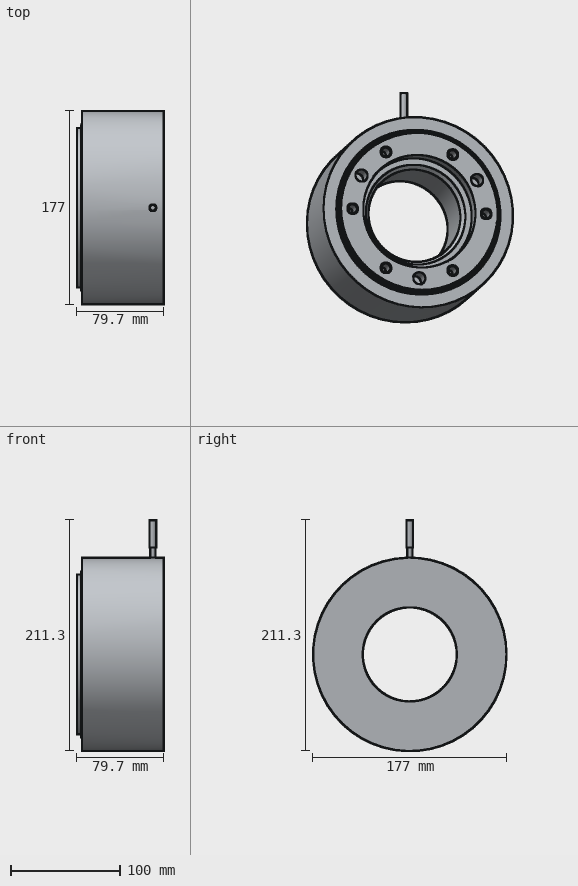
import cadquery as cq

total_length = 79.7
total_height = 211.3
body_radius = 88.5
pilot_radius = 73.1
pilot_length = 3.8
shoulder_radius = 75.0
shoulder_base_radius = 76.7
body_front = 4.6

counterbore_radius = 52.5
counterbore_depth = 17.0
bore_radius = 43.0
lead_in_radius = 46.5
lead_in_length = 5.0

pitch_radius = 62.3
screw_hole_count = 6
screw_start_angle = 0
screw_hole_diameter = 8.5
screw_hole_depth = 20.0
screw_countersink_diameter = 10.0
screw_countersink_depth = (screw_countersink_diameter - screw_hole_diameter) / 2
dowel_hole_count = 3
dowel_hole_diameter = 11.2
dowel_hole_depth = 20.0
dowel_start_angle = 30

cable_x = 69.5
cable_top = total_height - body_radius
sleeve_diameter = 6.3
sleeve_length = 25.1
cable_diameter = 5.0
cable_embed = 4.2
cable_root = body_radius - cable_embed


def make_ring():
    """Revolve the half section (X along the axis, Y as radius) about X."""
    lead_in_end = counterbore_depth + lead_in_length
    section = [
        (0, counterbore_radius),
        (0, pilot_radius),
        (pilot_length, pilot_radius),
        (pilot_length, shoulder_radius),
        (body_front, shoulder_base_radius),
        (body_front, body_radius),
        (total_length, body_radius),
        (total_length, bore_radius),
        (lead_in_end, bore_radius),
        (counterbore_depth, lead_in_radius),
        (counterbore_depth, counterbore_radius),
    ]
    return cq.Workplane("XY").polyline(section).close().revolve(360, (0, 0, 0), (1, 0, 0))


def front_pitch_circle(count, start_angle):
    """Hole centres on the front face, with the drilling direction along +X."""
    return cq.Workplane("YZ").polarArray(pitch_radius, start_angle, 360, count)


def make_screw_holes():
    holes = (
        front_pitch_circle(screw_hole_count, screw_start_angle)
        .circle(screw_hole_diameter / 2)
        .extrude(screw_hole_depth)
    )
    countersinks = (
        front_pitch_circle(screw_hole_count, screw_start_angle)
        .circle(screw_countersink_diameter / 2)
        .extrude(screw_countersink_depth, taper=45)
    )
    return holes.union(countersinks)


def make_dowel_holes():
    return (
        front_pitch_circle(dowel_hole_count, dowel_start_angle)
        .circle(dowel_hole_diameter / 2)
        .extrude(dowel_hole_depth)
    )


def make_cable():
    sleeve_bottom = cable_top - sleeve_length
    cable = (
        cq.Workplane("XY", origin=(cable_x, 0, cable_root))
        .circle(cable_diameter / 2)
        .extrude(sleeve_bottom - cable_root)
    )
    sleeve = (
        cq.Workplane("XY", origin=(cable_x, 0, sleeve_bottom))
        .circle(sleeve_diameter / 2)
        .extrude(sleeve_length)
    )
    return cable.union(sleeve)


result = make_ring().cut(make_screw_holes()).cut(make_dowel_holes()).union(make_cable())